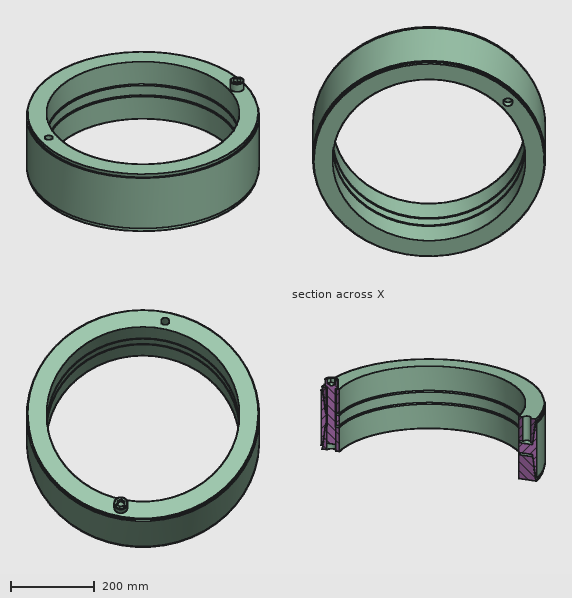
import cadquery as cq
import math


outer_diameter = 555.0
bore_diameter = 460.0
set_height = 161.0
outer_ring_height = 141.5
web_height = 26.5
wide_end_diameter = 549.5
narrow_end_diameter = 530.5
web_gap = 4.5

mid_height = set_height / 2
thrust_ring_length = (set_height - web_height) / 2 - web_gap

bolt_circle_radius = 250.5
head_diameter = 33.0
head_height = 22.0
head_chamfer = 1.5
shank_diameter = 22.0
shank_length = 144.5
clearance_diameter = 24.0
jack_hole_diameter = 19.5
socket_across_flats = 17.0
socket_depth = 11.0
socket_point_angle = 120.0

socket_across_corners = socket_across_flats / math.cos(math.radians(30))
socket_point_radius = socket_across_flats / 2
socket_point_depth = socket_point_radius / math.tan(math.radians(socket_point_angle / 2))


def cylinder(diameter, height, bottom=0.0, y=0.0):
    """Vertical cylinder standing at height bottom, centred at X = 0 and the given Y."""
    return cq.Workplane("XY", origin=(0, y, bottom)).circle(diameter / 2).extrude(height)


def inverted(body):
    """Turn a body at the lower end of the set into its mirror image at the upper end."""
    return body.mirror("XY").translate((0, 0, set_height))


def conical_plug(height):
    """Solid frustum on Z = 0 that narrows upward at the taper of the thrust rings."""
    inward_slope = (wide_end_diameter - narrow_end_diameter) / 2 / thrust_ring_length
    top_radius = wide_end_diameter / 2 - inward_slope * height
    return cq.Workplane(cq.Solid.makeCone(wide_end_diameter / 2, top_radius, height))


def make_outer_ring():
    """Plain cylinder outside; a central web between two conical recesses inside."""
    ring = cylinder(outer_diameter, outer_ring_height, mid_height - outer_ring_height / 2)
    recess = conical_plug(mid_height - web_height / 2)
    ring = ring.cut(recess).cut(inverted(recess))
    ring = ring.cut(cylinder(bore_diameter, set_height))
    return ring.cut(cylinder(clearance_diameter, set_height, y=bolt_circle_radius))


def make_thrust_ring():
    """Conical ring with its wide end at the bottom, before drilling."""
    return conical_plug(thrust_ring_length).cut(cylinder(bore_diameter, thrust_ring_length))


def make_lower_thrust_ring():
    """Thrust ring with the hole that the screw shank fills."""
    return make_thrust_ring().cut(cylinder(shank_diameter, thrust_ring_length, y=bolt_circle_radius))


def make_upper_thrust_ring():
    """Inverted thrust ring with a screw clearance hole and an opposite jacking hole."""
    ring = inverted(make_thrust_ring())
    ring = ring.cut(cylinder(clearance_diameter, set_height, y=bolt_circle_radius))
    return ring.cut(cylinder(jack_hole_diameter, set_height, y=-bolt_circle_radius))


def make_screw():
    """Socket head screw seated on the upper thrust ring; the hexagon has corners toward +Y and -Y."""
    head = cylinder(head_diameter, head_height, set_height, bolt_circle_radius)
    head = head.faces(">Z").edges().chamfer(head_chamfer)
    shank = cylinder(shank_diameter, shank_length, set_height - shank_length, bolt_circle_radius)
    socket_floor = set_height + head_height - socket_depth
    socket = (
        cq.Workplane("XY", origin=(0, bolt_circle_radius, socket_floor))
        .transformed(rotate=(0, 0, 90))
        .polygon(6, socket_across_corners)
        .extrude(socket_depth)
    )
    point = cq.Solid.makeCone(
        socket_point_radius,
        0,
        socket_point_depth,
        pnt=cq.Vector(0, bolt_circle_radius, socket_floor),
        dir=cq.Vector(0, 0, -1),
    )
    return head.union(shank).cut(socket).cut(point)


outer_ring = make_outer_ring()
lower_thrust_ring = make_lower_thrust_ring()
upper_thrust_ring = make_upper_thrust_ring()
screw = make_screw()

result = cq.Compound.makeCompound(
    [body.solids().val() for body in (outer_ring, lower_thrust_ring, upper_thrust_ring, screw)]
)